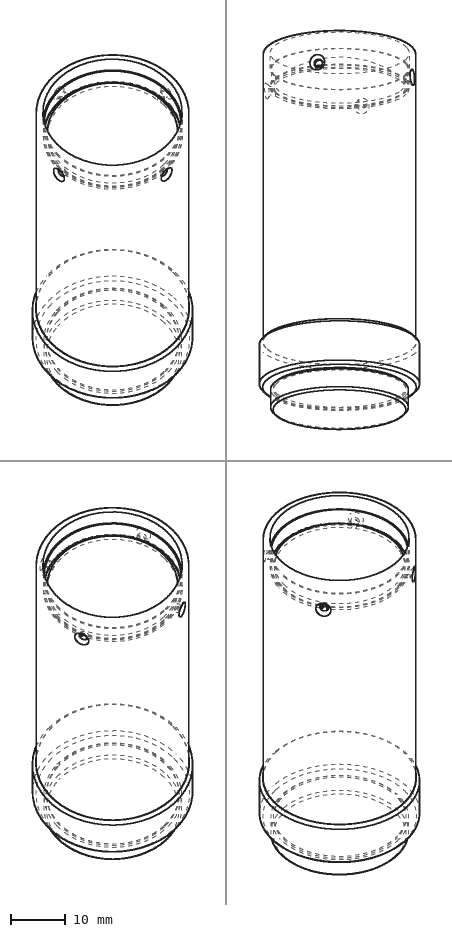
import cadquery as cq
import math

total_height = 68.5
body_diameter = 28.0
rim_radius = 0.4

collar_diameter = 29.4
collar_bottom = 4.3
collar_top = 13.1
collar_chamfer = 0.6
foot_diameter = 25.3
foot_top = 3.9
foot_chamfer = 0.5
neck_diameter = 24.3

bore_diameter = 25.5
bore_depth = 6.7
ring_diameter = 25.0
ring_top_depth = 3.1
ring_bottom_depth = 6.2
lens_diameter = 24.0
lens_edge_depth = 5.9
lens_apex_depth = 1.7

hole_count = 4
hole_diameter = 1.6
countersink_diameter = 2.95
countersink_angle = 90
hole_depth_from_top = 6.0


def cylinder(diameter, bottom, top):
    """Cylinder on the Z axis between two heights."""
    return cq.Workplane("XY").workplane(offset=bottom).circle(diameter / 2).extrude(top - bottom)


def make_barrel():
    """Body, collar, neck and foot, before the upper end is bored."""
    foot = cylinder(foot_diameter, 0, foot_top).faces("<Z").chamfer(foot_chamfer)
    neck = cylinder(neck_diameter, foot_top, collar_bottom)
    collar = cylinder(collar_diameter, collar_bottom, collar_top).edges().chamfer(collar_chamfer)
    body = cylinder(body_diameter, collar_top, total_height).faces(">Z").fillet(rim_radius)
    return foot.union(neck).union(collar).union(body)


def make_bore():
    """Cutter for the blind bore in the upper end."""
    return cylinder(bore_diameter, total_height - bore_depth, total_height)


def make_ring():
    """Retaining ring against the bore wall, ending just below the lens edge."""
    bottom = total_height - ring_bottom_depth
    top = total_height - ring_top_depth
    return cylinder(bore_diameter, bottom, top).cut(cylinder(ring_diameter, bottom, top))


def make_lens():
    """Lens with a spherical upper face, standing on the bottom of the bore."""
    radius = lens_diameter / 2
    rise = lens_edge_depth - lens_apex_depth
    sphere_radius = (radius**2 + rise**2) / (2 * rise)
    apex = total_height - lens_apex_depth
    half_x = radius / 2
    half_z = apex - sphere_radius + math.sqrt(sphere_radius**2 - half_x**2)
    base = total_height - bore_depth
    return (
        cq.Workplane("XZ").moveTo(0, base).lineTo(radius, base)
        .lineTo(radius, total_height - lens_edge_depth)
        .threePointArc((half_x, half_z), (0, apex))
        .close().revolve(360, (0, 0, 0), (0, 1, 0))
    )


def make_hole(angle):
    """Cutter for one countersunk hole through the wall, reaching the lens radius."""
    reach = (body_diameter - lens_diameter) / 2
    sink_depth = (countersink_diameter - hole_diameter) / 2 / math.tan(math.radians(countersink_angle / 2))
    start = cq.Workplane("XZ", origin=(0, -body_diameter / 2, total_height - hole_depth_from_top))
    drill = start.circle(hole_diameter / 2).extrude(-reach)
    sink = start.circle(countersink_diameter / 2).extrude(-sink_depth, taper=countersink_angle / 2)
    return drill.union(sink).rotate((0, 0, 0), (0, 0, 1), angle)


result = make_barrel().cut(make_bore())
for index in range(hole_count):
    result = result.cut(make_hole(index * 360 / hole_count))
result = result.union(make_ring()).union(make_lens())